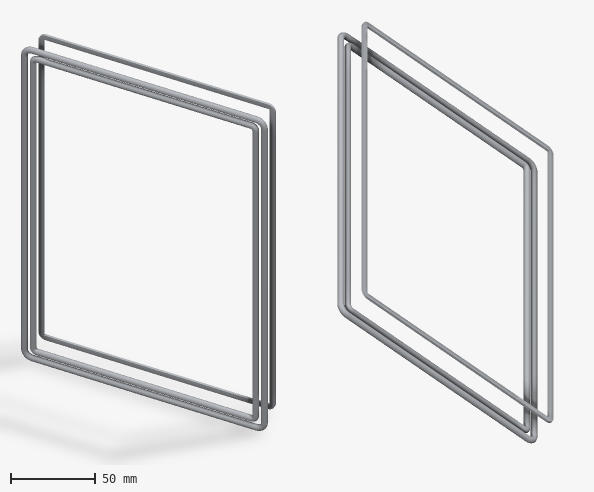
import cadquery as cq

frame_width = 161.5
frame_height = 242.5
overall_depth = 20.1

tube_radius = 2.0
ring_gap = 1.8
outer_bend_radius = 5.3
inner_bend_radius = 3.0

strip_width = 3.5
strip_thickness = 1.5
strip_corner_radius = 4.9

outer_ring_inset = tube_radius
inner_ring_inset = outer_ring_inset + 2 * tube_radius + ring_gap
strip_inset = (outer_ring_inset + inner_ring_inset - strip_width) / 2
strip_back = overall_depth - tube_radius


def frame_rectangle(inset, plane_y=0):
    """Rectangle in the XZ plane, moved in from the overall frame outline by inset."""
    width = frame_width - 2 * inset
    height = frame_height - 2 * inset
    return cq.Workplane("XZ", origin=(0, plane_y, 0)).rect(width, height)


def tube_ring(inset, bend_radius):
    """Solid round ring whose centreline is a rectangle with bent corners.

    The section is two half circles, so each ring has a front face and a back face.
    """
    block = frame_rectangle(inset).extrude(tube_radius).edges("|Y").fillet(bend_radius)
    centreline = block.faces(">Y").wires().val()
    start_z = frame_height / 2 - inset
    section = (
        cq.Workplane("YZ", origin=(0, 0, start_z))
        .moveTo(0, tube_radius)
        .threePointArc((tube_radius, 0), (0, -tube_radius))
        .threePointArc((-tube_radius, 0), (0, tube_radius))
        .close()
    )
    return section.sweep(cq.Workplane(centreline), clean=False)


def flat_ring():
    """Thin flat ring with rounded outer corners and square inner corners."""
    plate = frame_rectangle(strip_inset, strip_back).extrude(strip_thickness)
    plate = plate.edges("|Y").fillet(strip_corner_radius)
    opening = frame_rectangle(strip_inset + strip_width, strip_back).extrude(strip_thickness)
    return plate.cut(opening)


outer_tube = tube_ring(outer_ring_inset, outer_bend_radius)
inner_tube = tube_ring(inner_ring_inset, inner_bend_radius)
backing_strip = flat_ring()

result = cq.Compound.makeCompound([outer_tube.val(), inner_tube.val(), backing_strip.val()])